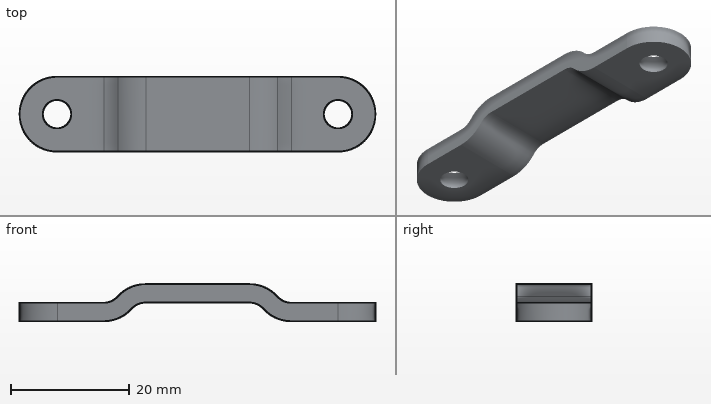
import cadquery as cq
import math

length = 60.3
width = 12.7
height = 6.35
hole_diameter = 4.75
raised_flat_length = 17.6

thickness = height / 2
inner_radius = thickness
outer_radius = inner_radius + thickness
bend_angle = math.acos(1 - thickness / (inner_radius + outer_radius))

half_length = length / 2
end_radius = width / 2
hole_offset = half_length - end_radius
flat_end = raised_flat_length / 2
bend_run = (inner_radius + outer_radius) * math.sin(bend_angle)
bend_end = flat_end + bend_run


def arc_point(center_x, center_z, radius, angle, side):
    """Point on a bend arc; the angle is measured from the vertical.

    side is +1 for the crest arcs and -1 for the foot arcs.
    """
    return (
        center_x + side * radius * math.sin(angle),
        center_z + side * radius * math.cos(angle),
    )


def bend_points(crest_radius, foot_radius, surface_height):
    """Mid, join, mid and end points of one surface, from crest to foot."""
    crest_center = (flat_end, surface_height - crest_radius)
    foot_center = (bend_end, surface_height - thickness + foot_radius)
    return [
        arc_point(*crest_center, crest_radius, bend_angle / 2, 1),
        arc_point(*crest_center, crest_radius, bend_angle, 1),
        arc_point(*foot_center, foot_radius, bend_angle / 2, -1),
        arc_point(*foot_center, foot_radius, 0, -1),
    ]


def half_strap():
    """The +X half of the bent strip, with square ends."""
    top_mid, top_join, top_low, top_end = bend_points(outer_radius, inner_radius, height)
    low_mid, low_join, low_low, low_end = bend_points(inner_radius, outer_radius, thickness)
    return (
        cq.Workplane("XZ")
        .moveTo(0, height)
        .lineTo(flat_end, height)
        .threePointArc(top_mid, top_join)
        .threePointArc(top_low, top_end)
        .lineTo(half_length, thickness)
        .lineTo(half_length, 0)
        .lineTo(*low_end)
        .threePointArc(low_low, low_join)
        .threePointArc(low_mid, (flat_end, thickness))
        .lineTo(0, thickness)
        .close()
        .extrude(width / 2, both=True)
    )


half = half_strap()
strap = half.union(half.mirror("YZ")).clean()

rounded_outline = cq.Workplane("XY").slot2D(length, width).extrude(height)
holes = (
    cq.Workplane("XY")
    .pushPoints([(-hole_offset, 0), (hole_offset, 0)])
    .circle(hole_diameter / 2)
    .extrude(thickness)
)
result = strap.intersect(rounded_outline).cut(holes)